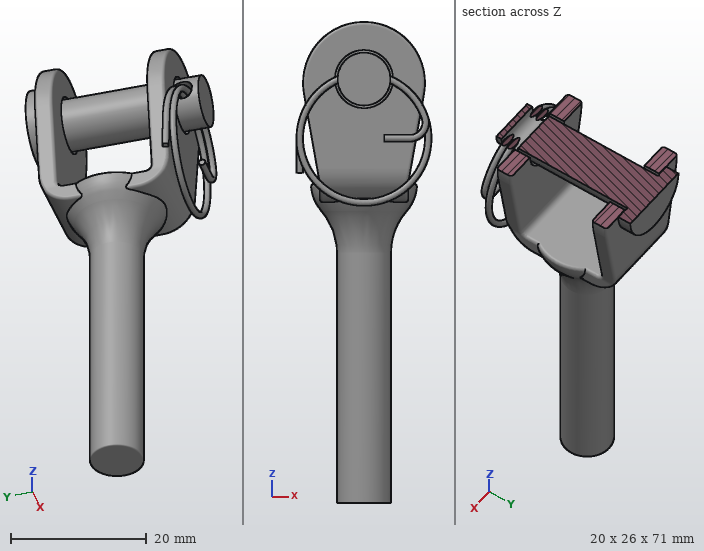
import cadquery as cq
import math


TOTAL_HEIGHT = 71.0
SHANK_DIA = 8.0
SHANK_EDGE_FILLET = 0.2
NECK_START_Z = 37.0
NECK_JOINT_SHARE = 0.6
FLANGE_DIA = 15.7

FORK_WIDTH = 20.1
STRAP_THICKNESS = 2.8
STRAP_WIDTH = 13.05
FLOOR_Z = 47.15
OUTER_BEND_RADIUS = 5.0
INNER_BEND_RADIUS = 1.0
EYE_RADIUS = 9.0
FLANK_CORNER_RADIUS = 3.55
EDGE_FILLET = 0.5

PIN_DIA = 7.8
PIN_HOLE_DIA = 8.6
PIN_Z = 62.55
PIN_HEAD_DIA = 12.15
PIN_HEAD_THICKNESS = 2.2
PIN_TIP_LENGTH = 3.7
RING_HOLE_DIA = 3.0
RING_HOLE_Y = -11.3

WIRE_DIA = 1.0
RING_OUTER_DIA = 19.95
RING_Z = 53.8
RING_PITCH = 1.1
RING_START_Y = -10.5
COIL_TURN = 521.0
HOOK_END_TURN = 630.0
TAIL_LENGTH = 5.1
LEG_LENGTH = 3.75
COIL_POINTS = 60
HOOK_POINTS = 12

half_fork = FORK_WIDTH / 2
half_floor = STRAP_WIDTH / 2
floor_bottom_z = FLOOR_Z - STRAP_THICKNESS
eye_z = TOTAL_HEIGHT - EYE_RADIUS
ring_radius = (RING_OUTER_DIA - WIRE_DIA) / 2


def make_neck_and_shank():
    """Turned shank whose neck flares out to the flange in an S of two tangent arcs."""
    shank_radius = SHANK_DIA / 2
    flange_radius = FLANGE_DIA / 2
    flare = flange_radius - shank_radius
    height = FLOOR_Z - NECK_START_Z
    joint_r = shank_radius + NECK_JOINT_SHARE * flare
    joint_z = NECK_START_Z + NECK_JOINT_SHARE * height
    body = (
        cq.Workplane("XZ")
        .lineTo(shank_radius, 0)
        .lineTo(shank_radius, NECK_START_Z)
        .tangentArcPoint((joint_r, joint_z), relative=False)
        .tangentArcPoint((flange_radius, FLOOR_Z), relative=False)
        .lineTo(0, FLOOR_Z)
        .close()
        .revolve(360, (0, 0, 0), (0, 1, 0))
    )
    body = body.faces("<Z").edges().fillet(SHANK_EDGE_FILLET)
    return body.faces(">Z").edges().fillet(EDGE_FILLET)


def make_strap():
    """U-shaped strap, tapered from the round eyes down to the floor, with rounded edges."""
    inner_width = FORK_WIDTH - 2 * STRAP_THICKNESS
    cheek_height = TOTAL_HEIGHT - floor_bottom_z
    outer = (
        cq.Workplane("XY", origin=(0, 0, floor_bottom_z))
        .box(2 * EYE_RADIUS, FORK_WIDTH, cheek_height, centered=(True, True, False))
        .edges("|X and <Z")
        .fillet(OUTER_BEND_RADIUS)
    )
    inner = (
        cq.Workplane("XY", origin=(0, 0, FLOOR_Z))
        .box(2 * EYE_RADIUS, inner_width, cheek_height, centered=(True, True, False))
        .edges("|X and <Z")
        .fillet(INNER_BEND_RADIUS)
    )

    drop = eye_z - FLOOR_Z
    tangent_angle = math.acos(EYE_RADIUS / math.hypot(half_floor, drop)) - math.atan2(drop, half_floor)
    tangent_x = EYE_RADIUS * math.cos(tangent_angle)
    tangent_z = eye_z + EYE_RADIUS * math.sin(tangent_angle)
    outline = (
        cq.Workplane("XZ")
        .moveTo(-half_floor, floor_bottom_z)
        .lineTo(half_floor, floor_bottom_z)
        .lineTo(half_floor, FLOOR_Z)
        .lineTo(tangent_x, tangent_z)
        .threePointArc((0, TOTAL_HEIGHT), (-tangent_x, tangent_z))
        .lineTo(-half_floor, FLOOR_Z)
        .close()
        .extrude(half_fork, both=True)
    )
    rounded_outline = (
        outline.edges("|Y")
        .filter(lambda edge: math.isclose(edge.Center().z, FLOOR_Z))
        .fillet(FLANK_CORNER_RADIUS)
    )
    strap = outer.cut(inner).intersect(rounded_outline)

    longest_cross_line = STRAP_THICKNESS + INNER_BEND_RADIUS

    def is_rim(edge):
        along_y = edge.geomType() == "LINE" and math.isclose(abs(edge.tangentAt(0.5).y), 1)
        return not along_y or edge.Length() > longest_cross_line

    return strap.edges("not |X").filter(is_rim).fillet(EDGE_FILLET)


def make_fork():
    """Strap and shank in one piece, with the pin hole through both cheeks."""
    pin_hole = (
        cq.Workplane("XZ", origin=(0, 0, PIN_Z))
        .circle(PIN_HOLE_DIA / 2)
        .extrude(half_fork, both=True)
    )
    return make_strap().union(make_neck_and_shank()).cut(pin_hole)


def make_pin():
    """Headed pin whose tip is cross-drilled for the lock ring."""
    head_plane = cq.Workplane("XZ", origin=(0, half_fork, PIN_Z))
    head = head_plane.circle(PIN_HEAD_DIA / 2).extrude(-PIN_HEAD_THICKNESS)
    stem = head_plane.circle(PIN_DIA / 2).extrude(FORK_WIDTH + PIN_TIP_LENGTH)
    ring_hole = (
        cq.Workplane("YZ", origin=(0, RING_HOLE_Y, PIN_Z))
        .circle(RING_HOLE_DIA / 2)
        .extrude(PIN_DIA, both=True)
    )
    return head.union(stem).cut(ring_hole)


def make_lock_ring():
    """Wire ring: straight tail, coil of about one and a half turns, then a hook and a leg inside it.

    The wire moves along -Y by the same amount per unit of its length all the way.
    """
    slope = RING_PITCH / (2 * math.pi * ring_radius)
    coil_angle = math.radians(COIL_TURN)
    coil_end_x = -ring_radius * math.cos(coil_angle)
    coil_end_rise = ring_radius * math.sin(coil_angle)
    hook_radius = coil_end_rise / (1 + math.sin(coil_angle))
    hook_x = coil_end_x + hook_radius * math.cos(coil_angle)
    hook_z = RING_Z + hook_radius
    hook_turn = math.radians(HOOK_END_TURN - COIL_TURN)

    coil_end_y = RING_START_Y - slope * ring_radius * coil_angle
    hook_end_y = coil_end_y - slope * hook_radius * hook_turn

    def coil_point(share):
        """Point on the coil, from the tail at share 0 to the hook at share 1."""
        angle = share * coil_angle
        return (
            -ring_radius * math.cos(angle),
            RING_START_Y - slope * ring_radius * angle,
            RING_Z + ring_radius * math.sin(angle),
        )

    def hook_point(share):
        """Point on the hook, from the coil at share 0 to the leg at share 1."""
        angle = coil_angle + share * hook_turn
        return (
            hook_x - hook_radius * math.cos(angle),
            coil_end_y - slope * hook_radius * share * hook_turn,
            hook_z + hook_radius * math.sin(angle),
        )

    tail_end = (-ring_radius, RING_START_Y + slope * TAIL_LENGTH, RING_Z - TAIL_LENGTH)
    leg_end = (hook_x - LEG_LENGTH, hook_end_y - slope * LEG_LENGTH, RING_Z)
    tail = cq.Edge.makeLine(cq.Vector(tail_end), cq.Vector(coil_point(0)))
    coil = cq.Workplane().parametricCurve(coil_point, N=COIL_POINTS, makeWire=False).val()
    hook = cq.Workplane().parametricCurve(hook_point, N=HOOK_POINTS, makeWire=False).val()
    leg = cq.Edge.makeLine(cq.Vector(hook_point(1)), cq.Vector(leg_end))
    path = cq.Wire.assembleEdges([tail, coil, hook, leg])
    start_plane = cq.Plane(origin=tail_end, xDir=(1, 0, 0), normal=(0, -slope, 1))
    return cq.Workplane(start_plane).circle(WIRE_DIA / 2).sweep(path)


fork = make_fork()
pin = make_pin()
lock_ring = make_lock_ring()

result = cq.Compound.makeCompound([fork.solids().val(), pin.solids().val(), lock_ring.solids().val()])